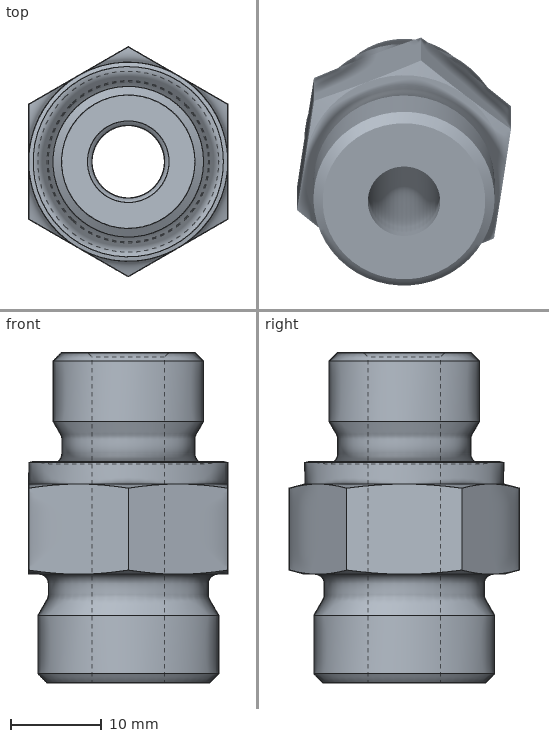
import cadquery as cq
import math

total_height = 36.5
hex_across_flats = 22.0
hex_bottom_z = 12.0
hex_top_z = 21.97
hex_chamfer_angle = 15.0

bore_diameter = 8.0
bore_chamfer = 0.5

undercut_cone_angle = 30.0
undercut_blend_radius = 1.0

lower_diameter = 20.0
lower_neck_diameter = 17.7
lower_chamfer = 1.02
lower_cone_z = 7.45
lower_fillet = 1.02

upper_diameter = 16.65
upper_neck_diameter = 14.7
upper_chamfer = 0.95
upper_cone_z = 28.9

collar_top_z = 24.45
collar_edge_diameter = 21.02
collar_edge_drop = 0.1
dish_angle = 8.0
dish_fillet = 1.15

bore_radius = bore_diameter / 2
hex_inner_radius = hex_across_flats / 2
hex_corner_radius = hex_inner_radius / math.cos(math.radians(30))


def undercut(spigot_radius, neck_radius, start_z, direction):
    """Points from the spigot to the neck: cone start, blend start, blend middle, blend end."""
    angle = math.radians(undercut_cone_angle)
    center_radius = neck_radius + undercut_blend_radius

    def blend_radius_at(turn):
        return center_radius - undercut_blend_radius * math.cos(turn)

    cone_end_radius = blend_radius_at(angle)
    cone_end_z = start_z + direction * (spigot_radius - cone_end_radius) / math.tan(angle)
    neck_z = cone_end_z + direction * undercut_blend_radius * math.sin(angle)
    middle_z = neck_z - direction * undercut_blend_radius * math.sin(angle / 2)
    return (
        (spigot_radius, start_z),
        (cone_end_radius, cone_end_z),
        (blend_radius_at(angle / 2), middle_z),
        (neck_radius, neck_z),
    )


def turned_body():
    """Solid of revolution for both spigots, their necks and the collar."""
    lower_radius = lower_diameter / 2
    lower_neck = lower_neck_diameter / 2
    upper_radius = upper_diameter / 2
    upper_neck = upper_neck_diameter / 2
    edge_radius = collar_edge_diameter / 2
    low = undercut(lower_radius, lower_neck, lower_cone_z, 1)
    high = undercut(upper_radius, upper_neck, upper_cone_z, -1)

    quarter_offset = lower_fillet * (1 - math.cos(math.radians(45)))
    lower_fillet_z = hex_bottom_z - lower_fillet

    dish = math.radians(dish_angle)
    center_radius = upper_neck + dish_fillet
    dish_radius = center_radius + dish_fillet * math.sin(dish)
    dish_z = collar_top_z - (edge_radius - dish_radius) * math.tan(dish)
    center_z = dish_z + dish_fillet * math.cos(dish)
    middle_turn = (math.pi / 2 + dish) / 2
    dish_middle = (
        center_radius - dish_fillet * math.cos(middle_turn),
        center_z - dish_fillet * math.sin(middle_turn),
    )

    profile = (
        cq.Workplane("XZ")
        .moveTo(0, 0)
        .lineTo(lower_radius - lower_chamfer, 0)
        .lineTo(lower_radius, lower_chamfer)
        .lineTo(*low[0])
        .lineTo(*low[1])
        .threePointArc(low[2], low[3])
        .lineTo(lower_neck, lower_fillet_z)
        .threePointArc(
            (lower_neck + quarter_offset, hex_bottom_z - quarter_offset),
            (lower_neck + lower_fillet, hex_bottom_z),
        )
        .lineTo(hex_inner_radius, hex_bottom_z)
        .lineTo(hex_inner_radius, collar_top_z - collar_edge_drop)
        .lineTo(edge_radius, collar_top_z)
        .lineTo(dish_radius, dish_z)
        .threePointArc(dish_middle, (upper_neck, center_z))
        .lineTo(*high[3])
        .threePointArc(high[2], high[1])
        .lineTo(*high[0])
        .lineTo(upper_radius, total_height - upper_chamfer)
        .lineTo(upper_radius - upper_chamfer, total_height)
        .lineTo(0, total_height)
        .close()
    )
    return profile.revolve(360, (0, 0, 0), (0, 1, 0))


def chamfered_hexagon():
    """Hexagon with two corners on the Y axis, its corners turned off by shallow cones."""
    chamfer_drop = (hex_corner_radius - hex_inner_radius) * math.tan(math.radians(hex_chamfer_angle))
    prism = (
        cq.Workplane("XY")
        .workplane(offset=hex_bottom_z)
        .polygon(6, 2 * hex_corner_radius)
        .extrude(hex_top_z - hex_bottom_z)
        .rotate((0, 0, 0), (0, 0, 1), 30)
    )
    turned_envelope = (
        cq.Workplane("XZ")
        .moveTo(0, hex_bottom_z)
        .lineTo(hex_inner_radius, hex_bottom_z)
        .lineTo(hex_corner_radius, hex_bottom_z + chamfer_drop)
        .lineTo(hex_corner_radius, hex_top_z - chamfer_drop)
        .lineTo(hex_inner_radius, hex_top_z)
        .lineTo(0, hex_top_z)
        .close()
        .revolve(360, (0, 0, 0), (0, 1, 0))
    )
    return prism.intersect(turned_envelope)


def bore():
    """Through bore, chamfered at its upper end."""
    profile = (
        cq.Workplane("XZ")
        .moveTo(0, 0)
        .lineTo(bore_radius, 0)
        .lineTo(bore_radius, total_height - bore_chamfer)
        .lineTo(bore_radius + bore_chamfer, total_height)
        .lineTo(0, total_height)
        .close()
    )
    return profile.revolve(360, (0, 0, 0), (0, 1, 0))


result = turned_body().union(chamfered_hexagon()).cut(bore())